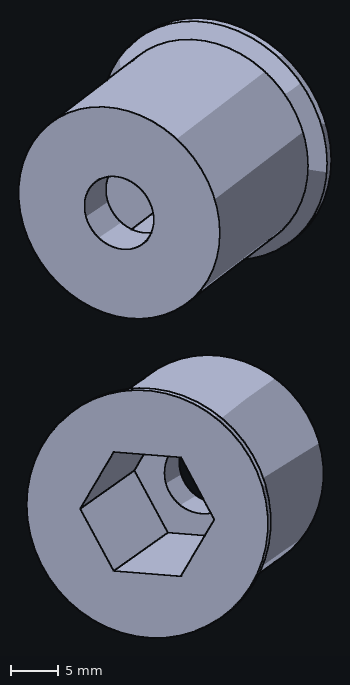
import cadquery as cq
import math

flange_diameter = 27.0
body_diameter = 24.0
bore_diameter = 8.25
total_length = 23.0
rim_thickness = 1.0

hex_across_flats = 13.0
neck_length = 5.0

taper_length = (flange_diameter - body_diameter) / 2
body_length = total_length - rim_thickness - taper_length

flange_radius = flange_diameter / 2
body_radius = body_diameter / 2
bore_radius = bore_diameter / 2


def make_bushing():
    """Flanged bushing with a through bore, revolved about Y from its plain end at Y = 0."""
    half_section = (
        cq.Workplane("XY")
        .moveTo(bore_radius, 0)
        .lineTo(body_radius, 0)
        .lineTo(body_radius, body_length)
        .lineTo(flange_radius, body_length + taper_length)
        .lineTo(flange_radius, total_length)
        .lineTo(bore_radius, total_length)
        .close()
    )
    return half_section.revolve(360, (0, 0, 0), (0, 1, 0))


def make_hex_pocket():
    """Hexagonal prism from the pocket floor to the flange face."""
    across_corners = hex_across_flats / math.cos(math.pi / 6)
    pocket_depth = total_length - neck_length
    return (
        cq.Workplane("XZ", origin=(0, total_length, 0))
        .polygon(6, across_corners)
        .extrude(pocket_depth)
    )


result = make_bushing().cut(make_hex_pocket())